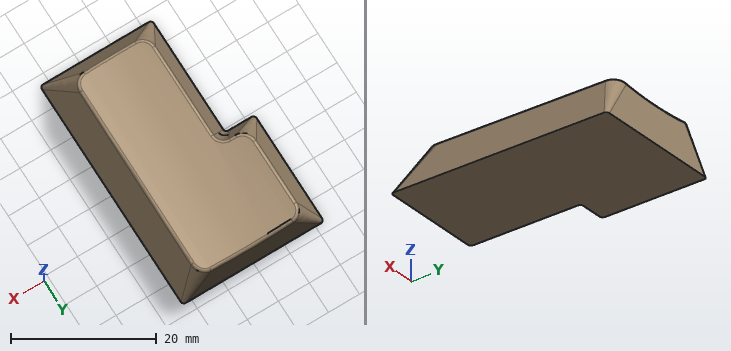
import cadquery as cq
import math

BASE_LEFT = 0
BASE_RIGHT = 22.85
BASE_FRONT = 0
BASE_BACK = 37.15
BASE_NOTCH_X = 4.75
BASE_NOTCH_Y = 19.05
BASE_CORNER = 0.52

BLANK_HEIGHT = 7.8
TOP_LEFT = 3.3
TOP_RIGHT = 19.7
TOP_FRONT = 3.75
TOP_BACK = 36.8
TOP_NOTCH_X = 7.95
TOP_NOTCH_Y = 22.45
TOP_CONVEX_CORNER = 2.3
TOP_CONCAVE_CORNER = 1.75

DISH_RADIUS = 55.72
DISH_CENTER_X = 11.5
DISH_FLOOR_HEIGHT = 6.75
DISH_TILT = 0.45

RIM_FILLET = 0.5


def l_outline(left, right, front, back, notch_x, notch_y, convex_corner, concave_corner, height):
    """Closed L-shaped wire with its five convex corners and one concave corner rounded."""
    inner_corner = (notch_x, notch_y)
    corners = [
        (left, notch_y),
        inner_corner,
        (notch_x, front),
        (right, front),
        (right, back),
        (left, back),
    ]
    points = [cq.Vector(x, y, height) for x, y in corners]
    outline = cq.Wire.makePolygon(points, close=True)
    inner_point = cq.Vector(*inner_corner, height)
    by_distance = sorted(outline.Vertices(), key=lambda vertex: (vertex.Center() - inner_point).Length)
    outline = outline.fillet2D(concave_corner, by_distance[:1])
    by_distance = sorted(outline.Vertices(), key=lambda vertex: (vertex.Center() - inner_point).Length)
    return outline.fillet2D(convex_corner, by_distance[2:])


def tapered_body():
    base = l_outline(
        BASE_LEFT, BASE_RIGHT, BASE_FRONT, BASE_BACK,
        BASE_NOTCH_X, BASE_NOTCH_Y, BASE_CORNER, BASE_CORNER, 0,
    )
    top = l_outline(
        TOP_LEFT, TOP_RIGHT, TOP_FRONT, TOP_BACK,
        TOP_NOTCH_X, TOP_NOTCH_Y, TOP_CONVEX_CORNER, TOP_CONCAVE_CORNER, BLANK_HEIGHT,
    )
    return cq.Workplane(cq.Solid.makeLoft([base, top], True))


def dish_cutter():
    length = 2 * BASE_BACK
    middle = (BASE_FRONT + BASE_BACK) / 2
    tilt = math.radians(DISH_TILT)
    axis = cq.Vector(0, math.cos(tilt), -math.sin(tilt))
    center = cq.Vector(DISH_CENTER_X, middle, DISH_FLOOR_HEIGHT + DISH_RADIUS)
    return cq.Solid.makeCylinder(DISH_RADIUS, length, center - axis * (length / 2), axis)


dished_body = tapered_body().cut(cq.Workplane(dish_cutter()))
result = dished_body.faces(">Z").edges().fillet(RIM_FILLET)